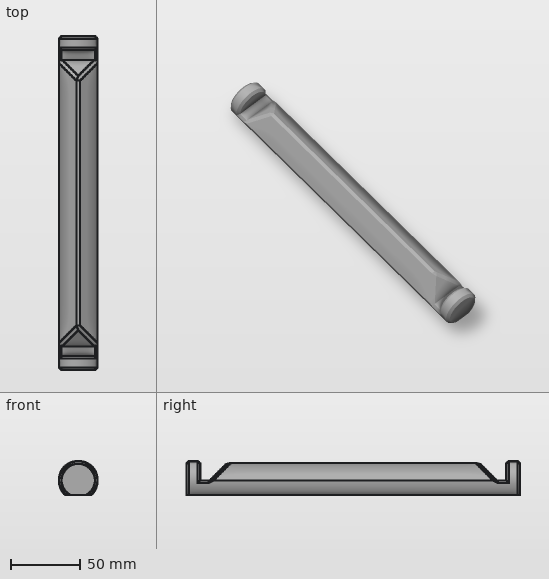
import cadquery as cq

length = 241.0
radius = 14.0
flat_depth = 10.5
bevel = 2.0
cap_thickness = 10.1
slot_width = 7.0

half_length = length / 2
bar_diameter = 2 * radius
inner_cap_edge = half_length - cap_thickness + bevel
ramp_foot = half_length - cap_thickness - slot_width
ridge_end = ramp_foot - radius


def cylinder_along_y(start, end):
    """Round bar between two Y positions."""
    return cq.Workplane("XZ", origin=(0, start, 0)).circle(radius).extrude(start - end)


def end_cap(side):
    """Disc with chamfered rims at the +Y or -Y end."""
    disc = cylinder_along_y(half_length - cap_thickness, half_length).edges().chamfer(bevel)
    return disc if side > 0 else disc.mirror("XZ")


def bed():
    """Lower half of the bar, with its top side edges chamfered."""
    floor_half_width = radius - bevel
    base_half_width = floor_half_width + flat_depth
    profile = [
        (-floor_half_width, 0),
        (floor_half_width, 0),
        (base_half_width, -flat_depth),
        (-base_half_width, -flat_depth),
    ]
    wedge = cq.Workplane("XZ").polyline(profile).close().extrude(inner_cap_edge, both=True)
    return wedge.intersect(cylinder_along_y(-inner_cap_edge, inner_cap_edge))


def ridge():
    """Hipped roof with 45 degree faces and chamfered edges, trimmed to the bar."""
    half_base = radius + flat_depth
    roof_profile = [(-half_base, -flat_depth), (half_base, -flat_depth), (0, radius)]
    ramp_base = ramp_foot + flat_depth
    side_profile = [
        (-ramp_base, -flat_depth),
        (ramp_base, -flat_depth),
        (ridge_end, radius),
        (-ridge_end, radius),
    ]
    roof = cq.Workplane("XZ").polyline(roof_profile).close().extrude(half_length, both=True)
    ramps = cq.Workplane("YZ").polyline(side_profile).close().extrude(half_base, both=True)
    hipped_roof = roof.intersect(ramps)
    bevelled_roof = hipped_roof.faces("not <Z").edges("not <Z").chamfer(bevel)
    return bevelled_roof.intersect(cylinder_along_y(-half_length, half_length))


body = bed().union(ridge())
for side in (-1, 1):
    body = body.union(end_cap(side))

above_flat = cq.Workplane("XY", origin=(0, 0, -flat_depth)).rect(bar_diameter, length)
result = body.intersect(above_flat.extrude(flat_depth + radius))